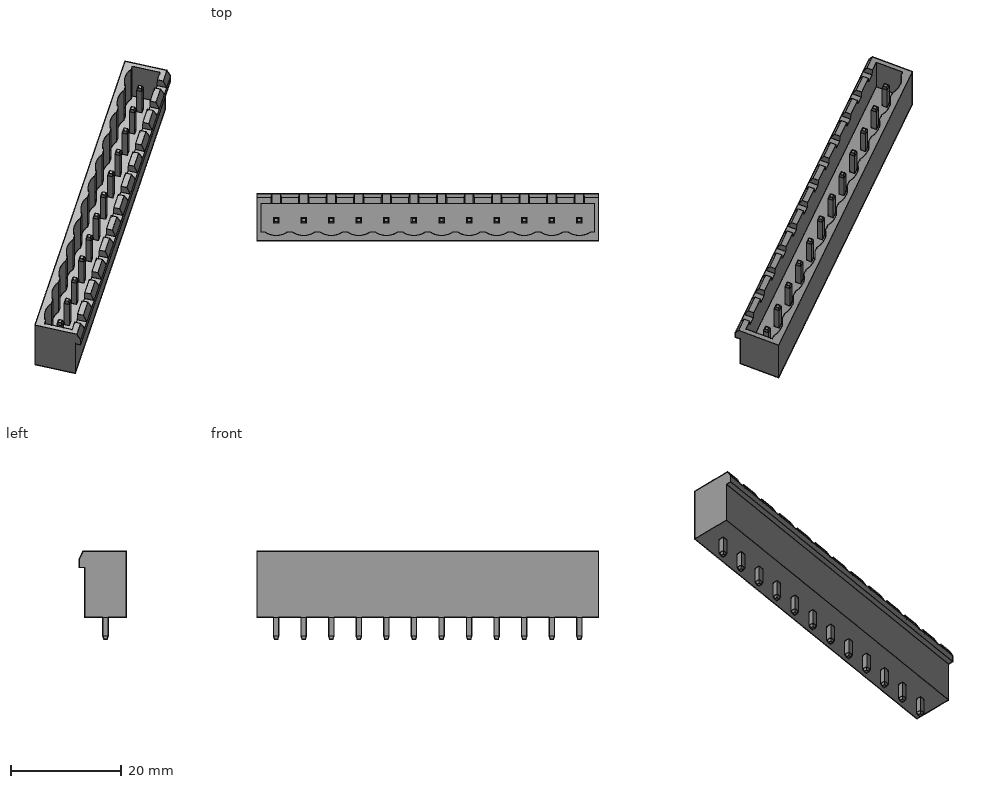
import cadquery as cq
import math

pin_count = 12
pin_pitch = 5.0
end_margin = 3.5
pin_size = 1.0
pin_tail = 4.0
pin_tip_length = 0.6
pin_tip_size = 0.6
pin_head = 7.0

body_length = (pin_count - 1) * pin_pitch + 2 * end_margin
body_depth = 7.6
body_height = 12.0
floor_thickness = 3.0
end_wall = 0.8
back_wall = 0.8
front_wall = 1.6

rim_overhang = 1.0
rim_height = 3.0
rim_bevel_depth = 0.7
rim_bevel_height = 1.5

scallop_depth = 0.6
scallop_width = 4.0

slot_depth = 1.5
slot_top_width = 1.9
slot_floor_width = 1.5

pin_y = body_depth / 2
pin_xs = [end_margin + i * pin_pitch for i in range(pin_count)]


def make_housing():
    """Outer block with the bevelled latching rim, extruded along X."""
    rim_y = body_depth + rim_overhang
    profile = [
        (0, 0),
        (body_depth, 0),
        (body_depth, body_height - rim_height),
        (rim_y, body_height - rim_height),
        (rim_y, body_height - rim_bevel_height),
        (rim_y - rim_bevel_depth, body_height),
        (0, body_height),
    ]
    return cq.Workplane("YZ").polyline(profile).close().extrude(body_length)


def make_cavity():
    """Open-topped pocket whose front side is a row of shallow arcs."""
    back_y = body_depth - back_wall
    outline = cq.Workplane("XY", origin=(0, 0, floor_thickness)).moveTo(end_wall, back_y)
    outline = outline.lineTo(end_wall, front_wall)
    for x in pin_xs:
        outline = outline.lineTo(x - scallop_width / 2, front_wall)
        outline = outline.threePointArc(
            (x, front_wall - scallop_depth),
            (x + scallop_width / 2, front_wall),
        )
    outline = outline.lineTo(body_length - end_wall, front_wall)
    outline = outline.lineTo(body_length - end_wall, back_y).close()
    return outline.extrude(body_height - floor_thickness)


def make_slot(x):
    """Trapezoidal notch through the rim and the back wall."""
    profile = [
        (x - slot_floor_width / 2, body_height - slot_depth),
        (x + slot_floor_width / 2, body_height - slot_depth),
        (x + slot_top_width / 2, body_height),
        (x - slot_top_width / 2, body_height),
    ]
    slot_start = pin_y
    slot_length = body_depth + rim_overhang - slot_start
    plane = cq.Workplane("XZ", origin=(0, slot_start, 0))
    return plane.polyline(profile).close().extrude(-slot_length)


def make_pin(x):
    """Square pin through the floor, tapered at both ends."""
    shank_bottom = pin_tip_length - pin_tail
    shank_top = floor_thickness + pin_head - pin_tip_length
    tip_taper = math.degrees(math.atan2((pin_size - pin_tip_size) / 2, pin_tip_length))
    shank = cq.Workplane("XY", origin=(x, pin_y, shank_bottom)).rect(pin_size, pin_size)
    pin = shank.extrude(shank_top - shank_bottom)
    pin = pin.faces(">Z").wires().toPending().extrude(pin_tip_length, taper=tip_taper)
    return pin.faces("<Z").wires().toPending().workplane().extrude(pin_tip_length, taper=tip_taper)


result = make_housing().cut(make_cavity())
for pin_x in pin_xs:
    result = result.cut(make_slot(pin_x))
for pin_x in pin_xs:
    result = result.union(make_pin(pin_x))